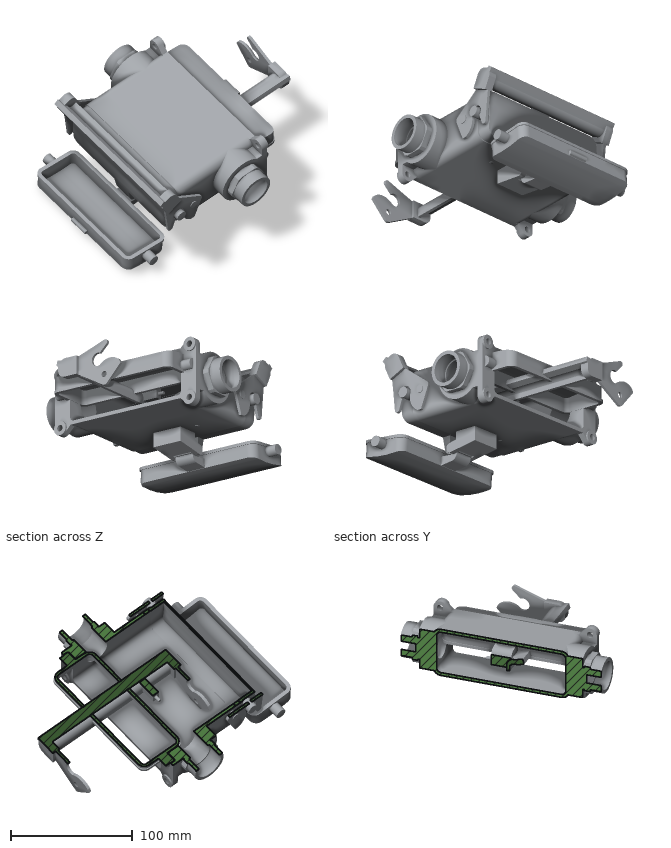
import cadquery as cq
import math


half_width = 59.9
half_height = 21.7
corner_radius = 6.7
wall = 3.2
housing_length = 77.5
front_y = -82.6

flange_half_width = 72.0
flange_thickness = 5.3
lug_radius = 12.0 / 2
lug_hole_diameter = 5.5
lug_z = 23.2
lug_x = flange_half_width - lug_radius
lug_boss_height = 1.5

entry_y = -25.5
entry_end_x = 88.5
neck_half_height = 15.8
collar_diameter = 31.0
collar_length = 1.0
nut_across_flats = 31.6
nut_corner_diameter = 34.8
nut_length = 5.5
tube_diameter = 30.4
tube_bore = 24.2
tube_bore_depth = 13.0
inner_bore = 21.7

lever_half_length = 68.3
grip_block_inner_x = 61.1
plate_inner_x = 62.8
plate_thickness = 2.5
block_half_height = 8.0
pivot_hole_diameter = 5.0
pivot_x, pivot_z = -26.1, -12.9
lever_tilt = 115.2

rivet_y = -73.0
rivet_head_diameter = 7.0
rivet_head_height = 0.6

rim_half_width = half_width
rim_half_depth = 21.7
rim_thickness = 2.5
rim_step = 0.6
cap_wall = 3.4
cap_edge_height = 13.7
cap_crown_height = 16.0
roof_thickness = 1.7
peg_diameter = 9.0
peg_z = 6.0
peg_half_length = 68.7
arm_half_width = 8.9
tab_tip_y = 23.8
tab_bottom = 9.5
hinge_y, hinge_z = -34.2, 1.3
trunnion_diameter = 3.0
open_angle = 85.0

bracket_half_width = 14.0
bracket_back_y = -57.3
bracket_bottom_z = -34.2
bracket_ear_z = -28.7
bracket_ear_radius = 4.2
slot_length = 21.0
slot_height = 21.0


def rounded_block(half_x, half_z, radius, y_back, y_front):
    """Block along Y with its four long edges rounded."""
    return (
        cq.Workplane("XZ", origin=(0, y_back, 0))
        .rect(2 * half_x, 2 * half_z)
        .extrude(y_back - y_front)
        .edges("|Y")
        .fillet(radius)
    )


def rod_x(diameter, x_start, x_end, y, z):
    """Round rod parallel to X."""
    return cq.Workplane("YZ", origin=(x_start, y, z)).circle(diameter / 2).extrude(x_end - x_start)


def slab_x(outline, half_x):
    """Extrude a YZ outline symmetrically about the middle plane."""
    return outline.extrude(half_x, both=True)




def mounting_lug(side_x, side_z):
    """Corner lug: rounded end, 45 degree flank and a raised boss at the rear."""
    diagonal = lug_radius * math.sqrt(0.5)
    flank_x, flank_z = lug_x - diagonal, lug_z + diagonal
    root_z = half_height - wall
    ear = (
        cq.Workplane("XZ")
        .moveTo(side_x * flange_half_width, side_z * root_z)
        .lineTo(side_x * flange_half_width, side_z * lug_z)
        .threePointArc(
            (side_x * lug_x, side_z * (lug_z + lug_radius)),
            (side_x * flank_x, side_z * flank_z),
        )
        .lineTo(side_x * (flank_x - flank_z + root_z), side_z * root_z)
        .close()
        .extrude(flange_thickness)
    )
    lug_axis = cq.Workplane("XZ", origin=(side_x * lug_x, lug_boss_height, side_z * lug_z))
    boss = lug_axis.circle(lug_radius).extrude(lug_boss_height + flange_thickness)
    return ear.union(boss)


def lug_hole(side_x, side_z):
    axis = cq.Workplane("XZ", origin=(side_x * lug_x, lug_boss_height, side_z * lug_z))
    return axis.circle(lug_hole_diameter / 2).extrude(lug_boss_height + flange_thickness)


def cable_gland(side):
    """Collar, hexagon nut and tube on one side of the housing."""
    nut_start = flange_half_width + collar_length
    nut_end = nut_start + nut_length
    collar = rod_x(collar_diameter, side * flange_half_width, side * nut_start, entry_y, 0)
    corner_distance = nut_across_flats / math.cos(math.pi / 6)
    nut = (
        cq.Workplane("YZ", origin=(side * nut_start, entry_y, 0))
        .polygon(6, corner_distance)
        .extrude(side * nut_length)
        .intersect(rod_x(nut_corner_diameter, side * nut_start, side * nut_end, entry_y, 0))
    )
    tube = rod_x(tube_diameter, side * nut_end, side * entry_end_x, entry_y, 0)
    return collar.union(nut).union(tube)


def rivet(side):
    plate_outer_x = plate_inner_x + plate_thickness
    head_end = plate_outer_x + rivet_head_height
    shank = rod_x(pivot_hole_diameter, side * (half_width - wall), side * plate_outer_x, rivet_y, 0)
    head = rod_x(rivet_head_diameter, side * plate_outer_x, side * head_end, rivet_y, 0)
    return shank.union(head)


def hinge_bracket(axis_y, axis_z):
    """Bracket with two ears that hold the cap's trunnions."""
    ear_bottom = (axis_y, axis_z - bracket_ear_radius)
    ear_tip = (axis_y - bracket_ear_radius, axis_z)
    ear_top = (axis_y, axis_z + bracket_ear_radius)
    outline = (
        cq.Workplane("YZ")
        .moveTo(bracket_back_y, -half_height + wall / 2)
        .lineTo(bracket_back_y, bracket_bottom_z)
        .lineTo(*ear_bottom)
        .threePointArc(ear_tip, ear_top)
        .lineTo(-housing_length, bracket_ear_z)
        .lineTo(-housing_length, -half_height + wall / 2)
        .close()
    )
    bracket = slab_x(outline, bracket_half_width)
    slot = cq.Workplane("XY").box(2 * arm_half_width, slot_length, slot_height)
    slot = slot.translate((0, -housing_length - slot_length / 2, axis_z))
    return bracket.cut(slot)


def cavity(y_back, y_front):
    return rounded_block(
        half_width - wall, half_height - wall, corner_radius - wall, y_back, y_front
    )


def make_housing(axis_y, axis_z):
    housing = rounded_block(half_width, half_height, corner_radius, 0, -housing_length)
    flange = (
        cq.Workplane("XZ").rect(2 * flange_half_width, 2 * half_height).extrude(flange_thickness)
    )
    neck = (
        cq.Workplane("XZ").rect(2 * flange_half_width, 2 * neck_half_height).extrude(-entry_y)
    )
    dome = rod_x(2 * half_height, -flange_half_width, flange_half_width, entry_y, 0)
    housing = housing.union(flange).union(neck).union(dome)
    corners = [(side_x, side_z) for side_x in (-1, 1) for side_z in (-1, 1)]
    for side_x, side_z in corners:
        housing = housing.union(mounting_lug(side_x, side_z))
    for side in (-1, 1):
        housing = housing.union(cable_gland(side))
    housing = housing.union(hinge_bracket(axis_y, axis_z))
    housing = housing.cut(cavity(0, -housing_length))
    for side in (-1, 1):
        housing = housing.union(rivet(side))
    for side_x, side_z in corners:
        housing = housing.cut(lug_hole(side_x, side_z))
    shoulder_x = entry_end_x - tube_bore_depth
    housing = housing.cut(rod_x(inner_bore, -entry_end_x, entry_end_x, entry_y, 0))
    for side in (-1, 1):
        housing = housing.cut(rod_x(tube_bore, side * shoulder_x, side * entry_end_x, entry_y, 0))
    return housing


def make_front_frame():
    frame = rounded_block(half_width, half_height, corner_radius, -housing_length, front_y)
    return frame.cut(cavity(-housing_length, front_y))




def lever_plate():
    """Side plate with a pivot hole and a hooked slot for the cap peg."""
    outline = (
        cq.Workplane("XZ")
        .moveTo(0, -block_half_height)
        .lineTo(-24.7, -21.7)
        .threePointArc((-27.0, -22.1), (-29.0, -20.9))
        .lineTo(-42.8, -6.1)
        .lineTo(-41.3, -3.0)
        .threePointArc((-31.8, 0.5), (-22.0, -3.8))
        .threePointArc((-15.0, -2.3), (-21.7, 6.5))
        .lineTo(-28.7, 13.3)
        .threePointArc((-28.9, 16.2), (-26.1, 17.0))
        .lineTo(-10.1, 11.4)
        .lineTo(0, block_half_height)
        .close()
    )
    plate = outline.extrude(plate_thickness)
    hole = cq.Workplane("XZ", origin=(pivot_x, 0, pivot_z))
    return plate.cut(hole.circle(pivot_hole_diameter / 2).extrude(plate_thickness))


def grip_block():
    """Round-nosed block that joins a side plate to the grip bar."""
    return (
        cq.Workplane("XZ")
        .moveTo(0, -block_half_height)
        .lineTo(12.5, -block_half_height)
        .threePointArc((16.9, -6.1), (18.5, -1.7))
        .lineTo(18.5, 2.1)
        .threePointArc((16.2, 6.0), (11.8, block_half_height))
        .lineTo(0, block_half_height)
        .close()
        .extrude(lever_half_length - grip_block_inner_x)
    )


def grip_bar():
    """Bar with a rounded inner edge and a finger lip along its outer edge."""
    return (
        cq.Workplane("XZ")
        .moveTo(4.6, -6.0)
        .lineTo(4.6, 0)
        .threePointArc((6.5, 4.2), (11.2, 6.0))
        .lineTo(19.2, 7.5)
        .lineTo(20.5, 3.2)
        .lineTo(14.3, 1.0)
        .threePointArc((10.0, 0.8), (7.5, -1.3))
        .lineTo(7.5, -6.0)
        .close()
        .extrude(lever_half_length, both=True)
    )


def make_lever():
    lever = grip_bar()
    for end_y in (lever_half_length, -grip_block_inner_x):
        lever = lever.union(grip_block().translate((0, end_y, 0)))
    for end_y in (plate_inner_x + plate_thickness, -plate_inner_x):
        lever = lever.union(lever_plate().translate((0, end_y, 0)))
    return lever


def make_closing_lever():
    """Lever swung so that its pivot holes sit on the housing rivets."""
    tilt = math.radians(lever_tilt)
    turned_pivot_y = pivot_x * math.cos(tilt) - pivot_z * math.sin(tilt)
    turned_pivot_z = pivot_x * math.sin(tilt) + pivot_z * math.cos(tilt)
    return (
        make_lever()
        .rotate((0, 0, 0), (0, 0, 1), 90)
        .rotate((0, 0, 0), (1, 0, 0), lever_tilt)
        .translate((0, rivet_y - turned_pivot_y, -turned_pivot_z))
    )




def upright_block(half_x, half_y, radius, height):
    block = cq.Workplane("XY").rect(2 * half_x, 2 * half_y).extrude(height)
    return block.edges("|Z").fillet(radius)


def crowned_block(half_x, half_y, radius, drop):
    """Round-cornered block under the arched roof, lowered by the given drop."""
    arch_half_depth = rim_half_depth - rim_step
    arch = (
        cq.Workplane("YZ")
        .moveTo(-arch_half_depth, 0)
        .lineTo(-arch_half_depth, cap_edge_height - drop)
        .threePointArc((0, cap_crown_height - drop), (arch_half_depth, cap_edge_height - drop))
        .lineTo(arch_half_depth, 0)
        .close()
    )
    block = upright_block(half_x, half_y, radius, cap_crown_height)
    return block.intersect(slab_x(arch, rim_half_width))


def cap_shell():
    """Hollow lid with a stepped rim and a crowned roof."""
    rim = upright_block(rim_half_width, rim_half_depth, corner_radius, rim_thickness)
    body = crowned_block(rim_half_width - rim_step, rim_half_depth - rim_step, corner_radius, 0)
    hollow = crowned_block(
        rim_half_width - cap_wall, rim_half_depth - cap_wall, corner_radius - cap_wall, roof_thickness
    )
    return rim.union(body).cut(hollow)


def hinge_arm():
    """Hooked arm that reaches from the cap wall to the hinge axis."""
    root_y = -rim_half_depth + cap_wall / 2
    outline = (
        cq.Workplane("YZ")
        .moveTo(root_y, 5.7)
        .lineTo(-31.0, 5.7)
        .lineTo(-31.0, -3.0)
        .lineTo(-37.3, -3.0)
        .lineTo(-37.3, 4.6)
        .threePointArc((-36.0, 8.9), (-32.7, 11.2))
        .lineTo(root_y, cap_edge_height)
        .close()
    )
    return slab_x(outline, arm_half_width)


def finger_tab():
    """Small tab on the wall opposite the hinge, its upper face falling away outwards."""
    root_y = rim_half_depth - cap_wall / 2
    outline = (
        cq.Workplane("YZ")
        .moveTo(root_y, tab_bottom)
        .lineTo(tab_tip_y - 0.6, tab_bottom)
        .threePointArc((tab_tip_y, 11.0), (tab_tip_y - 0.8, 12.9))
        .lineTo(root_y, cap_edge_height)
        .close()
    )
    return slab_x(outline, arm_half_width)


def make_cap():
    cap = cap_shell().union(hinge_arm())
    cap = cap.union(finger_tab())
    for side in (-1, 1):
        peg_start = side * (rim_half_width - cap_wall)
        cap = cap.union(rod_x(peg_diameter, peg_start, side * peg_half_length, 0, peg_z))
    return cap.union(
        rod_x(trunnion_diameter, -bracket_half_width, bracket_half_width, hinge_y, hinge_z)
    )




def half_space(side):
    """Large block that covers everything on one side of the middle plane."""
    reach = 4 * entry_end_x
    return cq.Workplane("XY").box(reach, reach, reach).translate((side * reach / 2, 0, 0))


def largest_solid(shape):
    return cq.Workplane(max(shape.solids().vals(), key=lambda solid: solid.Volume()))


stored_lever = make_lever()
closing_lever = make_closing_lever()
stored_cap = largest_solid(make_cap().cut(stored_lever))

hinge_axis_y = front_y - hinge_z
hinge_axis_z = hinge_y
hinge_ends = ((0, hinge_axis_y, hinge_axis_z), (1, hinge_axis_y, hinge_axis_z))
turned_cap = make_cap().rotate((0, 0, 0), (1, 0, 0), 90).translate((0, front_y, 0))
swung_cap = turned_cap.rotate(*hinge_ends, open_angle)

closed_cap = turned_cap.cut(swung_cap.intersect(half_space(1)))
open_cap = swung_cap.cut(turned_cap.intersect(half_space(-1)))

front_frame = make_front_frame()
housing = make_housing(hinge_axis_y, hinge_axis_z)
for neighbour in (closed_cap, open_cap, stored_lever, stored_cap):
    housing = housing.cut(neighbour)

bodies = [housing, front_frame, stored_lever, closing_lever, stored_cap, closed_cap, open_cap]
result = cq.Compound.makeCompound([solid for body in bodies for solid in body.vals()])